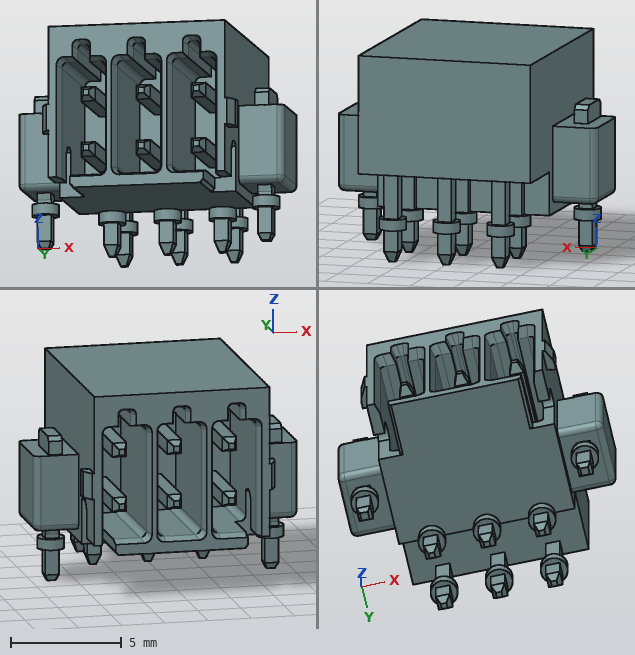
import cadquery as cq
import math


overall_width = 12.21
body_width = 8.11
body_depth = 9.66
body_height = 7.4
rear_step_y = 6.74
rear_step_height = 1.99

pitch = 2.54
pole_count = 3
pin_width = 0.65
pin_tip_width = 0.27
row_heights = (1.99, 4.52)
first_row_y = 6.76
contact_front_y = 1.0
contact_tip_length = 0.49
solder_tip_length = 0.49
bend_radius = 0.78
leg_bottom = -1.99
collar_radius = 0.61
collar_height = 0.5

socket_depth = 5.5
socket_width = 2.31
socket_bottom = 0.5
socket_shoulder = 5.98
socket_top = 6.75
socket_corner = 0.37
key_width = 0.83
key_corner = 0.27
key_overlap = 1.22
lead_in = 0.15
lead_in_depth = 0.53

wall_slot_y = 2.49
floor_half_width = 3.06
floor_chamfer_x = 0.13
floor_chamfer_z = 0.17
arch_radius = 0.59
arch_y = 2.08
arch_z = 1.64

ear_y = (3.09, 6.26)
ear_z = (0.5, 4.02)
ear_round = 0.3
anchor_x = 2 * pitch
anchor_y = first_row_y - pitch
anchor_width_x = 0.63
anchor_tip_width = 0.37
anchor_tip_length = 0.29
anchor_neck_width = 0.76
anchor_neck_bottom = 0.21
tab_y = (3.27, 5.23)
tab_top = 4.85
tab_chamfer = 0.21

latch_z = (2.65, 3.85)
latch_outline = [(0, 0), (0.1, 0), (0.38, 0.54), (0.4, 0.75), (0.4, 1.0), (0.17, 1.0), (0.12, 0.95), (0, 0.95)]

half_body = body_width / 2
pole_positions = [(i - (pole_count - 1) / 2) * pitch for i in range(pole_count)]


def block(x_range, y_range, z_range):
    """Box between the given limits."""
    sizes = [limits[1] - limits[0] for limits in (x_range, y_range, z_range)]
    return cq.Workplane("XY").box(*sizes, centered=False).translate((x_range[0], y_range[0], z_range[0]))


def taper_angle(start_width, end_width, length):
    return math.degrees(math.atan((start_width - end_width) / 2 / length))


def both_sides(solid):
    """The +X solid together with its mirror image."""
    return solid.union(solid.mirror("YZ"))


def rounded_rectangle(width, height, corner):
    return cq.Sketch().rect(width, height).vertices().fillet(corner)


def flared_bore(width, z_range, corner):
    """Rounded rectangular bore whose mouth narrows by the lead-in, then runs straight."""
    height = z_range[1] - z_range[0]
    mouth = rounded_rectangle(width, height, corner)
    throat = rounded_rectangle(width - 2 * lead_in, height - 2 * lead_in, corner - lead_in / 2)
    plane = cq.Workplane("XZ", origin=(0, 0, sum(z_range) / 2))
    entry = plane.placeSketch(mouth, throat.moved(cq.Location((0, 0, -lead_in_depth)))).loft(ruled=True)
    straight_length = socket_depth - lead_in_depth
    straight = plane.workplane(offset=-lead_in_depth).placeSketch(throat).extrude(-straight_length)
    return entry.union(straight)


def socket():
    """Socket cavity with a keyway along its top."""
    main = flared_bore(socket_width, (socket_bottom, socket_shoulder), socket_corner)
    key_base = socket_shoulder - key_overlap
    return main.union(flared_bore(key_width, (key_base, socket_top), key_corner))


def side_wall_relief():
    """Cuts that free the +X side wall from the socket floor."""
    socket_edge = pole_positions[-1] + socket_width / 2
    gap = (
        cq.Workplane("XY")
        .moveTo(floor_half_width, 0)
        .lineTo(socket_edge, 0)
        .lineTo(socket_edge - lead_in, lead_in_depth)
        .lineTo(socket_edge - lead_in, wall_slot_y)
        .lineTo(floor_half_width, wall_slot_y)
        .close()
        .extrude(socket_bottom + lead_in + socket_corner)
    )
    under_wall = block((floor_half_width, half_body), (0, wall_slot_y), (0, socket_bottom))
    floor_chamfer = (
        cq.Workplane("XZ")
        .moveTo(floor_half_width - floor_chamfer_x, 0)
        .lineTo(floor_half_width, 0)
        .lineTo(floor_half_width, floor_chamfer_z)
        .close()
        .extrude(-wall_slot_y)
    )
    arch_front = arch_y - arch_radius
    arch_back_z = arch_z + math.sqrt(arch_radius**2 - (wall_slot_y - arch_y) ** 2)
    arch = (
        cq.Workplane("YZ", origin=(floor_half_width, 0, 0))
        .moveTo(arch_front, 0)
        .lineTo(arch_front, arch_z)
        .threePointArc((arch_y, arch_z + arch_radius), (wall_slot_y, arch_back_z))
        .lineTo(wall_slot_y, 0)
        .close()
        .extrude(half_body - floor_half_width)
    )
    return gap.union(under_wall).union(floor_chamfer).union(arch)


def housing():
    body = block((-half_body, half_body), (0, body_depth), (0, body_height))
    body = body.cut(block((-half_body, half_body), (rear_step_y, body_depth), (0, rear_step_height)))
    cavity = socket()
    for x in pole_positions:
        body = body.cut(cavity.translate((x, 0, 0)))
    return body.cut(both_sides(side_wall_relief()))


def collar(x, y):
    return cq.Workplane("XY", origin=(x, y, -collar_height)).circle(collar_radius).extrude(collar_height)


def terminal(x, leg_y, height):
    """Right-angle square pin with tapered ends and a collar on its downward leg."""
    half = pin_width / 2
    contact_start = contact_front_y + contact_tip_length
    leg_end = leg_bottom + solder_tip_length
    bent_bar = (
        cq.Workplane("YZ")
        .moveTo(contact_start, height + half)
        .lineTo(leg_y + half - bend_radius, height + half)
        .radiusArc((leg_y + half, height + half - bend_radius), bend_radius)
        .lineTo(leg_y + half, leg_end)
        .lineTo(leg_y - half, leg_end)
        .lineTo(leg_y - half, height - half)
        .lineTo(contact_start, height - half)
        .close()
        .extrude(half, both=True)
    )
    contact_tip = (
        cq.Workplane("XZ", origin=(0, contact_start, height))
        .rect(pin_width, pin_width)
        .extrude(contact_tip_length, taper=taper_angle(pin_width, pin_tip_width, contact_tip_length))
    )
    solder_tip = (
        cq.Workplane("XY", origin=(0, leg_y, leg_end))
        .rect(pin_width, pin_width)
        .extrude(-solder_tip_length, taper=taper_angle(pin_width, pin_tip_width, solder_tip_length))
    )
    pin = bent_bar.union(contact_tip).union(solder_tip).union(collar(0, leg_y))
    return pin.translate((x, 0, 0))


def anchor():
    """Anchor pin of the +X ear: upper tab, necked shank, collar and tapered tip."""
    half_x = anchor_width_x / 2
    x_range = (anchor_x - half_x, anchor_x + half_x)
    tab = block(x_range, tab_y, (ear_z[0] + ear_round, tab_top)).edges("|X and >Z").chamfer(tab_chamfer)
    shank_end = leg_bottom + anchor_tip_length
    shank_side = [
        (anchor_neck_width / 2, ear_z[0]),
        (pin_width / 2, anchor_neck_bottom),
        (pin_width / 2, shank_end),
    ]
    mirrored_side = [(-y, z) for y, z in reversed(shank_side)]
    shank = (
        cq.Workplane("YZ", origin=(anchor_x, anchor_y, 0))
        .polyline(shank_side + mirrored_side)
        .close()
        .extrude(half_x, both=True)
    )
    tip = (
        cq.Workplane("XY", origin=(anchor_x, anchor_y, shank_end))
        .rect(anchor_width_x, pin_width)
        .workplane(offset=-anchor_tip_length)
        .rect(anchor_tip_width, anchor_tip_width)
        .loft(ruled=True)
    )
    return tab.union(shank).union(tip).union(collar(anchor_x, anchor_y))


def ear():
    """Mounting ear on the +X side, rounded at its outer corners and underside."""
    solid = block((half_body, overall_width / 2), ear_y, ear_z)
    solid = solid.edges("(|Z and >X) or (<Z and (not <X))").fillet(ear_round)
    return solid.union(anchor())


def latch():
    """Latch wedge on the +X side."""
    return (
        cq.Workplane("XY", origin=(half_body, 0, latch_z[0]))
        .polyline(latch_outline)
        .close()
        .extrude(latch_z[1] - latch_z[0])
    )


result = housing()
for pole_x in pole_positions:
    for row, row_height in enumerate(row_heights):
        result = result.union(terminal(pole_x, first_row_y + row * pitch, row_height))
result = result.union(both_sides(ear().union(latch())))